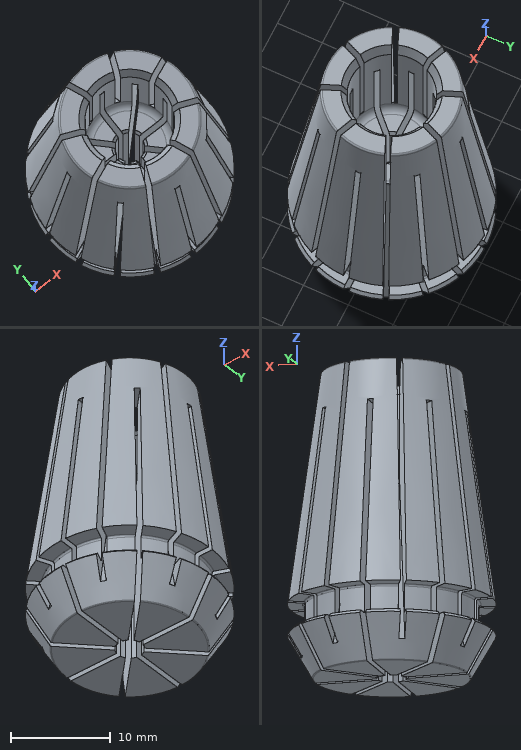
import cadquery as cq
import math

LENGTH = 31.5
MAX_RADIUS = 10.5
TAPER_ANGLE = 8.0
NOSE_ANGLE = 30.0
BOTTOM_FILLET = 0.15
TOP_FILLET = 0.2

RIM_EDGE_HEIGHT = 4.4
RIM_CHAMFER = 0.35
GROOVE_TOP = 7.65
GROOVE_RADIUS = 8.75
GROOVE_FILLET = 0.2

CLAMP_RADIUS = 1.5
CLAMP_CHAMFER = 0.3
RELIEF_RADIUS = 4.5
RELIEF_FLOOR = 18.0
RELIEF_FILLET = 0.8
MOUTH_RADIUS = 5.1
MOUTH_ANGLE = 30.0

SLOT_COUNT = 8
SLOT_WIDTH = 0.6
LOWER_SLOT_TOP = 27.1
UPPER_SLOT_BOTTOM = 1.95
UPPER_SLOT_ANGLE = 15.0
OVERCUT = 1.0

SLOT_PITCH = 360.0 / SLOT_COUNT


def slope(angle):
    """Radial change per unit of height for an angle measured from the axis."""
    return math.tan(math.radians(angle))


def nose_radius(height):
    """Radius of the clamping cone at a given height."""
    return MAX_RADIUS - (RIM_EDGE_HEIGHT - height) * slope(NOSE_ANGLE)


def make_body():
    """Solid of revolution with both cones, the groove and rounded end edges."""
    bottom_radius = nose_radius(0)
    top_radius = MAX_RADIUS - (LENGTH - GROOVE_TOP) * slope(TAPER_ANGLE)
    groove_bottom = RIM_EDGE_HEIGHT + RIM_CHAMFER
    body = (
        cq.Workplane("XZ")
        .moveTo(0, 0)
        .lineTo(bottom_radius, 0)
        .lineTo(MAX_RADIUS, RIM_EDGE_HEIGHT)
        .lineTo(MAX_RADIUS - RIM_CHAMFER, groove_bottom)
        .lineTo(GROOVE_RADIUS, groove_bottom)
        .lineTo(GROOVE_RADIUS, GROOVE_TOP)
        .lineTo(MAX_RADIUS, GROOVE_TOP)
        .lineTo(top_radius, LENGTH)
        .lineTo(0, LENGTH)
        .close()
        .revolve(360, (0, 0, 0), (0, 1, 0))
    )
    body = body.faces("<Z").edges().fillet(BOTTOM_FILLET)
    body = body.faces(">Z").edges().fillet(TOP_FILLET)
    return body.faces("%CYLINDER").edges("%CIRCLE").fillet(GROOVE_FILLET)


def make_bore():
    """Cutter for the clamping hole, the relief bore and its countersunk mouth."""
    chamfer_bottom = RELIEF_FLOOR - CLAMP_CHAMFER
    mouth_bottom = LENGTH - (MOUTH_RADIUS - RELIEF_RADIUS) / slope(MOUTH_ANGLE)
    return (
        cq.Workplane("XZ")
        .moveTo(0, 0)
        .lineTo(CLAMP_RADIUS, 0)
        .lineTo(CLAMP_RADIUS, chamfer_bottom)
        .lineTo(CLAMP_RADIUS + CLAMP_CHAMFER, RELIEF_FLOOR)
        .lineTo(RELIEF_RADIUS - RELIEF_FILLET, RELIEF_FLOOR)
        .radiusArc((RELIEF_RADIUS, RELIEF_FLOOR + RELIEF_FILLET), -RELIEF_FILLET)
        .lineTo(RELIEF_RADIUS, mouth_bottom)
        .lineTo(MOUTH_RADIUS, LENGTH)
        .lineTo(0, LENGTH)
        .close()
        .revolve(360, (0, 0, 0), (0, 1, 0))
    )


def make_lower_slot():
    """Radial slot along +X, open at the bottom face and full depth to the axis."""
    return cq.Workplane("XY").box(
        MAX_RADIUS + OVERCUT, SLOT_WIDTH, LOWER_SLOT_TOP, centered=(False, True, False)
    )


def make_upper_slot():
    """Radial slot along +X, open at the top, its floor sloping down and outward."""
    inner_radius = RELIEF_RADIUS - RELIEF_FILLET
    outer_radius = MAX_RADIUS + OVERCUT
    exit_radius = nose_radius(UPPER_SLOT_BOTTOM)
    floor_slope = slope(UPPER_SLOT_ANGLE)
    inner_height = UPPER_SLOT_BOTTOM + (exit_radius - inner_radius) / floor_slope
    return (
        cq.Workplane("XZ")
        .moveTo(exit_radius, UPPER_SLOT_BOTTOM)
        .lineTo(outer_radius, UPPER_SLOT_BOTTOM)
        .lineTo(outer_radius, LENGTH + OVERCUT)
        .lineTo(inner_radius, LENGTH + OVERCUT)
        .lineTo(inner_radius, inner_height)
        .close()
        .extrude(SLOT_WIDTH / 2, both=True)
    )


def cut_slots(body, slot, start_angle):
    """Cut one evenly spaced set of slots, beginning at start_angle from +X."""
    for index in range(SLOT_COUNT):
        angle = start_angle + index * SLOT_PITCH
        body = body.cut(slot.rotate((0, 0, 0), (0, 0, 1), angle))
    return body


result = make_body().cut(make_bore())
result = cut_slots(result, make_upper_slot(), SLOT_PITCH / 2)
result = cut_slots(result, make_lower_slot(), 0)